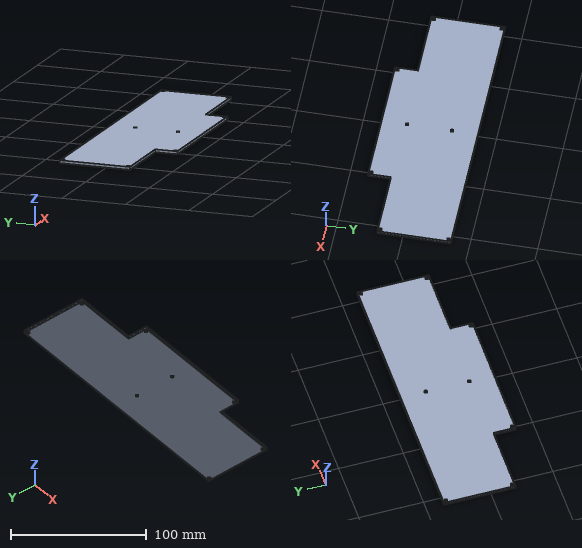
import cadquery as cq

length = 214.5
total_depth = 72.5
thickness = 2.4

tab_width = 106.5
tab_depth = 17.2

hole_diameter = 2.0
edge_inset = 2.1
back_center_hole_inset = 19.5

back_y = total_depth / 2
tab_front_y = -total_depth / 2
main_front_y = tab_front_y + tab_depth


def make_plate():
    """T-shaped plate: a wide rectangle with a narrower tab in front."""
    main_depth = total_depth - tab_depth
    main = cq.Workplane("XY").box(length, main_depth, thickness)
    main = main.translate((0, (back_y + main_front_y) / 2, 0))
    tab = cq.Workplane("XY").box(tab_width, total_depth, thickness)
    return main.union(tab).clean()


def hole_positions():
    """Corner holes of both rectangles, then two holes on the centre line."""
    corner_x = length / 2 - edge_inset
    tab_x = tab_width / 2 - edge_inset
    front_row_y = main_front_y + edge_inset
    points = []
    for side in (-1, 1):
        points.append((side * corner_x, back_y - edge_inset))
        points.append((side * corner_x, front_row_y))
        points.append((side * tab_x, tab_front_y + edge_inset))
    points.append((0, back_y - back_center_hole_inset))
    points.append((0, front_row_y))
    return points


def make_holes():
    """Cylinders that pass through the full thickness."""
    base = cq.Workplane("XY").workplane(offset=-thickness / 2)
    return base.pushPoints(hole_positions()).circle(hole_diameter / 2).extrude(thickness)


result = make_plate().cut(make_holes())